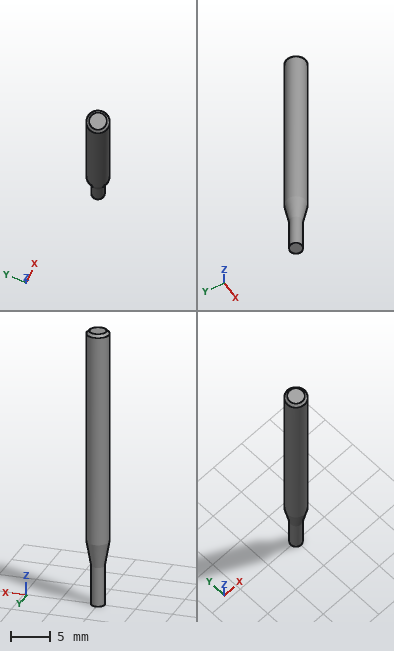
import cadquery as cq

total_length = 38.0
shank_diameter = 3.0
tip_diameter = 1.8
tip_length = 5.4
taper_length = 3.42
chamfer_size = 0.38

shank_length = total_length - tip_length - taper_length

tip = cq.Workplane("XY").circle(tip_diameter / 2).extrude(tip_length)

taper = (
    cq.Workplane("XY")
    .workplane(offset=tip_length)
    .circle(tip_diameter / 2)
    .workplane(offset=taper_length)
    .circle(shank_diameter / 2)
    .loft()
)

shank = (
    cq.Workplane("XY")
    .workplane(offset=tip_length + taper_length)
    .circle(shank_diameter / 2)
    .extrude(shank_length)
    .faces(">Z")
    .chamfer(chamfer_size)
)

result = tip.union(taper).union(shank)